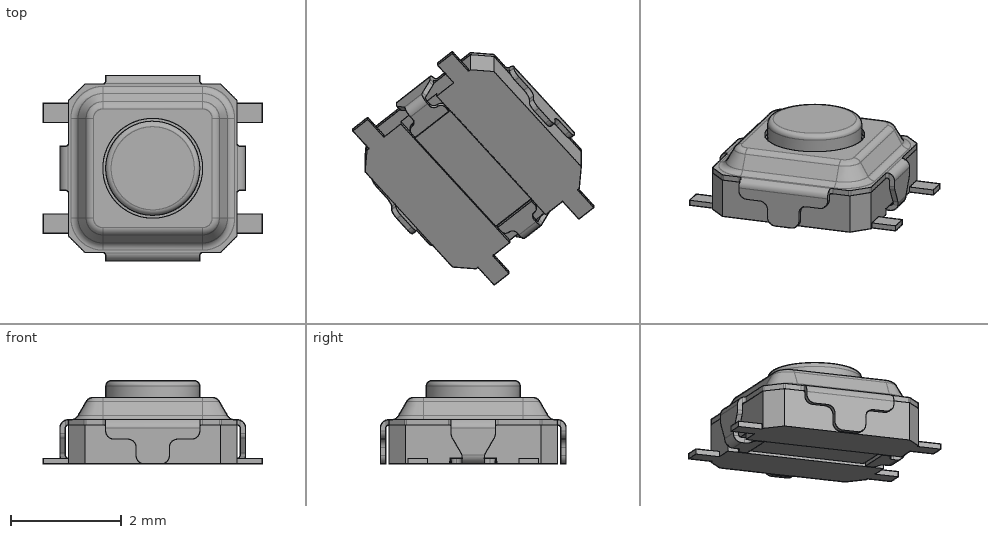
import cadquery as cq
import math

total_height = 1.5
body_width = 3.04
body_half = body_width / 2
corner_chamfer = 0.3
base_height = 0.7
sheet = 0.1

terminal_tip = 1.975
terminal_width = 0.35
terminal_offset = 1.0

button_radius = 0.85
button_round = 0.1
button_clearance = 0.05

plate_top = base_height + sheet
dome_top = 1.2
dome_foot_half = 1.39
dome_foot_corner = 0.495
dome_round = 0.15
dome_slope_from_vertical = 30.0
plate_corner_round = 0.05

tab_outer = 1.675
bend_radius = 0.15
tab_round = 0.15
root_round = 0.05
root_overlap = 0.03

wide_tab_half = 0.85
wide_tab_shoulder = 0.445
wide_tab_stem_half = 0.3

clip_half = 0.4
clip_neck_half = 0.2
hook_radius = 0.16
clip_neck_top = hook_radius
clip_neck_length = 0.06
clip_taper_angle = 30.0
clip_taper_height = (clip_half - clip_neck_half) / math.tan(math.radians(clip_taper_angle))
clip_taper_top = clip_neck_top + clip_taper_height
clip_foot_length = 0.2
clip_foot_round = 0.1

pocket_side_gap = 0.025
pocket_depth = 0.11
channel_depth = 0.05

bend_start = tab_outer - bend_radius
hook_end = tab_outer - hook_radius
neck_end = hook_end - clip_neck_length
foot_shoulder = neck_end - clip_foot_round
foot_end = foot_shoulder - clip_foot_length
pocket_half = clip_half + pocket_side_gap
pocket_end = foot_end - pocket_side_gap


def octagon(bottom, height):
    """Square block with chamfered vertical corners."""
    return (
        cq.Workplane("XY", origin=(0, 0, bottom))
        .rect(body_width, body_width)
        .extrude(height)
        .edges("|Z")
        .chamfer(corner_chamfer)
    )


def tapered_block(inset):
    """Dome block with sloped sides, offset inwards by the given inset."""
    side_inset = inset * math.tan(math.radians(dome_slope_from_vertical))
    width = 2 * (dome_foot_half - side_inset)
    foot = (
        cq.Sketch()
        .rect(width, width)
        .vertices()
        .fillet(dome_foot_corner - side_inset)
    )
    return (
        cq.Workplane("XY", origin=(0, 0, plate_top - inset))
        .placeSketch(foot)
        .extrude(dome_top - plate_top, taper=dome_slope_from_vertical)
    )


def rounded_dome(plate_bottom, inset):
    """Square plate carrying the dome, rounded at the crest and at the foot."""
    level = plate_top - inset
    plate = (
        cq.Workplane("XY", origin=(0, 0, plate_bottom))
        .rect(body_width, body_width)
        .extrude(level - plate_bottom)
    )
    solid = plate.union(tapered_block(inset))
    solid = solid.faces(">Z").edges().fillet(dome_round - inset)
    margin = sheet / 2
    reach = dome_foot_half + margin
    foot_zone = cq.selectors.BoxSelector(
        (-reach, -reach, level - margin), (reach, reach, level + margin)
    )
    return solid.edges(foot_zone).fillet(dome_round + inset)


def make_base():
    """Moulded base with terminals, button and underside relief as one body."""
    base = rounded_dome(0, sheet).intersect(octagon(0, total_height))

    channel = cq.Workplane("XY").rect(body_width, 2 * pocket_half).extrude(channel_depth)
    base = base.cut(channel)
    pocket_length = body_half - pocket_end
    for side in (-1, 1):
        pocket = (
            cq.Workplane("XY")
            .center(side * (pocket_end + pocket_length / 2), 0)
            .rect(pocket_length, 2 * pocket_half)
            .extrude(pocket_depth)
        )
        base = base.cut(pocket)

    for side in (-1, 1):
        terminal_bar = (
            cq.Workplane("XY")
            .center(0, side * terminal_offset)
            .rect(2 * terminal_tip, terminal_width)
            .extrude(sheet)
        )
        base = base.union(terminal_bar)

    button = (
        cq.Workplane("XY", origin=(0, 0, base_height))
        .circle(button_radius)
        .extrude(total_height - base_height)
        .faces(">Z")
        .edges()
        .fillet(button_round)
    )
    return base.union(button)


def make_shell():
    """Domed sheet with the button hole, before the tabs are added."""
    outer = rounded_dome(base_height, 0)
    outline = octagon(base_height, total_height).edges("|Z").fillet(plate_corner_round)
    outer = outer.intersect(outline)
    inner = rounded_dome(0, sheet)
    hole = cq.Workplane("XY").circle(button_radius + button_clearance).extrude(total_height)
    return outer.cut(inner).cut(hole)


def bent_strip(half_width, hooked):
    """Sheet strip leaving the plate towards -Y and bent down, optionally hooked under the base."""
    inner_face = tab_outer - sheet
    inner_bend = bend_radius - sheet
    bend_z = plate_top - bend_radius
    strip = (
        cq.Workplane("YZ", origin=(-half_width, 0, 0))
        .moveTo(-body_half + root_overlap, plate_top)
        .lineTo(-bend_start, plate_top)
        .radiusArc((-tab_outer, bend_z), -bend_radius)
    )
    if hooked:
        strip = (
            strip.lineTo(-tab_outer, hook_radius)
            .radiusArc((-hook_end, 0), -hook_radius)
            .lineTo(-hook_end, sheet)
            .radiusArc((-inner_face, hook_radius), hook_radius - sheet)
        )
    else:
        strip = strip.lineTo(-tab_outer, 0).lineTo(-inner_face, 0)
    return (
        strip.lineTo(-inner_face, bend_z)
        .radiusArc((-bend_start, base_height), inner_bend)
        .lineTo(-body_half + root_overlap, base_height)
        .close()
        .extrude(2 * half_width)
    )


def tab_root(half_width, hooked):
    """Short stretch of strip that flares into the plate edge with concave corners."""
    flare_half = half_width + root_round
    flare_end = -body_half - root_round
    flare_bottom = plate_top - bend_radius
    plan = (
        cq.Workplane("XY", origin=(0, 0, flare_bottom))
        .moveTo(-flare_half, -body_half + root_overlap)
        .lineTo(-flare_half, -body_half)
        .radiusArc((-half_width, flare_end), root_round)
        .lineTo(half_width, flare_end)
        .radiusArc((flare_half, -body_half), root_round)
        .lineTo(flare_half, -body_half + root_overlap)
        .close()
        .extrude(bend_radius)
    )
    return bent_strip(flare_half, hooked).intersect(plan)


def shaped_tab(right_outline, hooked):
    """Tab facing -Y, trimmed to a mirrored outline given as (x, z) points from top to bottom."""
    half_width = right_outline[0][0]
    left_outline = [(-x, z) for x, z in reversed(right_outline)]
    outline = (
        cq.Workplane("XZ")
        .polyline(right_outline + left_outline)
        .close()
        .extrude(terminal_tip)
        .edges("|Y")
        .fillet(tab_round)
    )
    leg = bent_strip(half_width, hooked).intersect(outline)
    return leg.union(tab_root(half_width, hooked))


def make_wide_tab():
    """T-shaped tab hanging straight down to the bottom of the base."""
    return shaped_tab(
        [
            (wide_tab_half, total_height),
            (wide_tab_half, wide_tab_shoulder),
            (wide_tab_stem_half, wide_tab_shoulder),
            (wide_tab_stem_half, 0),
        ],
        hooked=False,
    )


def make_clip_tab():
    """Tapered tab hooked under the base and ending in a T-shaped foot."""
    tab = shaped_tab(
        [
            (clip_half, total_height),
            (clip_half, clip_taper_top),
            (clip_neck_half, clip_neck_top),
            (clip_neck_half, -total_height),
        ],
        hooked=True,
    )
    foot = (
        cq.Workplane("XY")
        .moveTo(-clip_neck_half, -hook_end)
        .lineTo(-clip_neck_half, -neck_end)
        .radiusArc((-clip_neck_half - clip_foot_round, -foot_shoulder), -clip_foot_round)
        .radiusArc((-clip_half, -foot_shoulder + clip_foot_round), clip_foot_round)
        .lineTo(-clip_half, -foot_end)
        .lineTo(clip_half, -foot_end)
        .lineTo(clip_half, -foot_shoulder + clip_foot_round)
        .radiusArc((clip_half - clip_foot_round, -foot_shoulder), clip_foot_round)
        .radiusArc((clip_neck_half, -neck_end), -clip_foot_round)
        .lineTo(clip_neck_half, -hook_end)
        .close()
        .extrude(sheet)
    )
    return tab.union(foot)


def make_cover():
    """Sheet-metal cover: domed shell with two wide tabs and two clip tabs."""
    cover = make_shell()
    wide_tab = make_wide_tab()
    clip_tab = make_clip_tab()
    for tab, angle in ((wide_tab, 0), (wide_tab, 180), (clip_tab, 90), (clip_tab, 270)):
        cover = cover.union(tab.rotate((0, 0, 0), (0, 0, 1), angle))
    return cover


base = make_base()
cover = make_cover()
result = cq.Compound.makeCompound([base.solids().val(), cover.solids().val()])